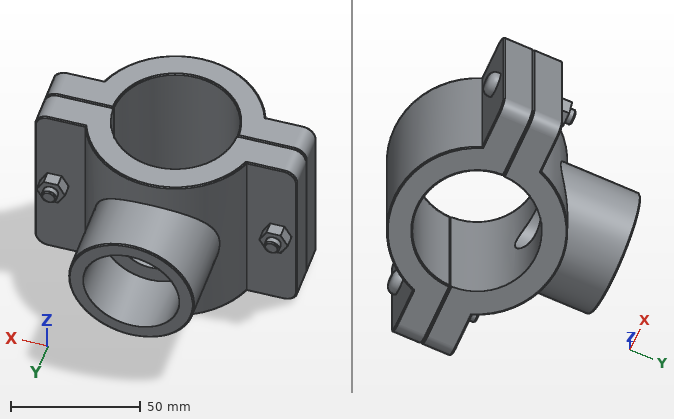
import cadquery as cq
import math

clamp_length = 106.0
clamp_height = 73.0
body_radius = 35.0
bore_radius = 25.0
flange_thickness = 12.5
corner_radius = 5.5
edge_chamfer = 0.5

branch_end = 58.0
branch_diameter = 50.7
socket_diameter = 38.9
socket_floor = 33.0
port_diameter = 25.0

bolt_spacing = 90.1
bolt_diameter = 6.0
bolt_tip = 8.0
bolt_tip_chamfer = 0.5
head_diameter = 10.0
head_height = 3.9
head_rounding = 3.0
nut_width = 10.0
nut_height = 5.0


def y_cylinder(diameter, y_start, y_end, x=0.0):
    """Cylinder along +Y between two Y positions."""
    plane = cq.Plane(origin=(x, y_start, 0), xDir=(1, 0, 0), normal=(0, 1, 0))
    return cq.Workplane(plane).circle(diameter / 2).extrude(y_end - y_start)


def clamp_half(side):
    """Solid half of the clamp on the +Y (side=1) or -Y (side=-1) side of the split."""
    flanges = (
        cq.Workplane("XY")
        .box(clamp_length, flange_thickness, clamp_height)
        .edges("|Y")
        .fillet(corner_radius)
        .faces("<Y or >Y")
        .edges()
        .chamfer(edge_chamfer)
        .translate((0, side * flange_thickness / 2, 0))
    )
    round_body = (
        cq.Workplane("XY")
        .moveTo(body_radius, 0)
        .threePointArc((0, side * body_radius), (-body_radius, 0))
        .close()
        .extrude(clamp_height / 2, both=True)
        .faces("<Z or >Z")
        .edges()
        .chamfer(edge_chamfer)
    )
    return flanges.union(round_body)


def bore():
    """Main bore along Z, as a solid to cut away."""
    return cq.Workplane("XY").circle(bore_radius).extrude(clamp_height / 2, both=True)


def front_half():
    """Half on the -Y side, with the bore chamfered at its end rims and along the split."""
    rim_chamfer = (
        cq.Workplane("XY", origin=(0, 0, clamp_height / 2 - edge_chamfer))
        .circle(bore_radius)
        .workplane(offset=edge_chamfer)
        .circle(bore_radius + edge_chamfer)
        .loft(ruled=True)
    )
    split_chamfers = (
        cq.Workplane("XY")
        .pushPoints([(-bore_radius, 0), (bore_radius, 0)])
        .polygon(4, 2 * edge_chamfer)
        .extrude(clamp_height / 2, both=True)
    )
    half = clamp_half(-1).cut(bore()).cut(split_chamfers)
    return half.cut(rim_chamfer).cut(rim_chamfer.mirror("XY"))


def rear_half():
    """Half on the +Y side, with the branch pipe."""
    pipe = y_cylinder(branch_diameter, bore_radius / 2, branch_end)
    pipe = pipe.faces(">Y").edges().chamfer(edge_chamfer)
    port = y_cylinder(port_diameter, 0, branch_end)
    socket = y_cylinder(socket_diameter, socket_floor, branch_end)
    return clamp_half(1).union(pipe).cut(bore()).cut(port).cut(socket)


def bolt(x):
    """Bolt with a round head on -Y and a hexagonal nut on +Y."""
    head = y_cylinder(head_diameter, -flange_thickness - head_height, -flange_thickness, x)
    head = head.faces("<Y").edges().fillet(head_rounding)
    shank = y_cylinder(bolt_diameter, -flange_thickness, flange_thickness + bolt_tip, x)
    shank = shank.faces(">Y").edges().chamfer(bolt_tip_chamfer)
    nut_plane = cq.Plane(origin=(x, flange_thickness, 0), xDir=(1, 0, 0), normal=(0, 1, 0))
    corner_diameter = nut_width / math.cos(math.pi / 6)
    nut = cq.Workplane(nut_plane).polygon(6, corner_diameter).extrude(nut_height)
    return head.union(shank).union(nut)


result = front_half().union(rear_half())
for bolt_x in (-bolt_spacing / 2, bolt_spacing / 2):
    result = result.union(bolt(bolt_x))